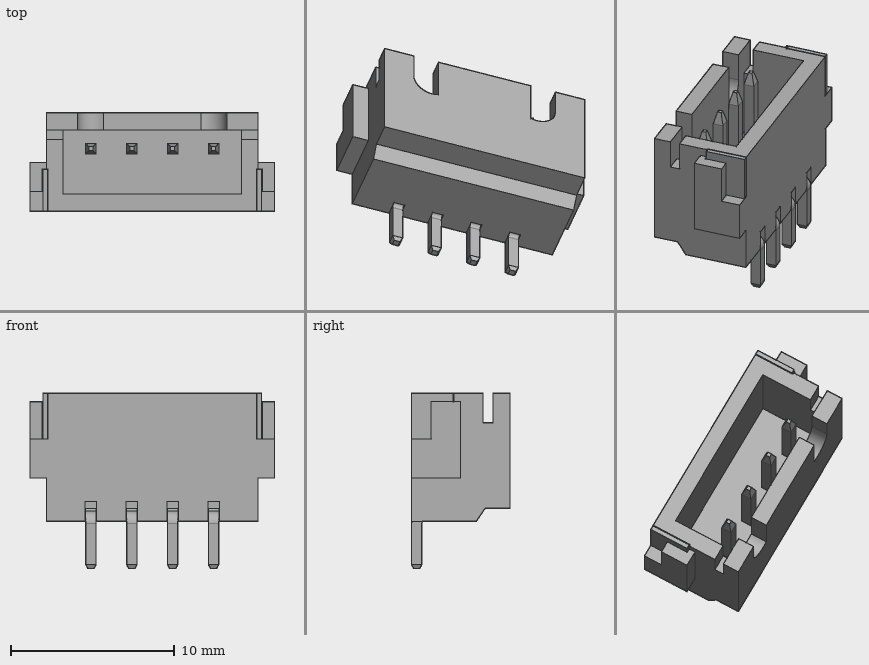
import cadquery as cq
import math


HOUSING_WIDTH = 12.99
HOUSING_DEPTH = 6.05
HOUSING_HEIGHT = 7.86
BACK_BOTTOM_Z = 0.8
SLOPE_TOP_Y = 4.52
SLOPE_BOTTOM_Y = 3.98

WALL = 1.05
CAVITY_WIDTH = 10.92
CAVITY_DEPTH = 6.0
CAVITY_BACK_Y = HOUSING_DEPTH - WALL
CAVITY_FLOOR_Z = HOUSING_HEIGHT - CAVITY_DEPTH

SIDE_NOTCH_LENGTH = 0.6
SIDE_NOTCH_DEPTH = 1.8

BACK_SLOT_INNER_X = 3.0
BACK_SLOT_OUTER_X = 4.59
BACK_SLOT_DEPTH = 3.0
BACK_SLOT_RADIUS = 1.2

OVERALL_WIDTH = 15.0
EAR_LENGTH = 3.0
EAR_TOP_Z = HOUSING_HEIGHT - 0.51
EAR_BOTTOM_Z = HOUSING_HEIGHT - 5.2
LEDGE_LENGTH = 1.2
LEDGE_Z = HOUSING_HEIGHT - 2.82

TAB_INNER_X = 6.44
TAB_OUTER_X = 6.7
TAB_LENGTH = 2.55
TAB_GAP = 0.05

PIN_COUNT = 4
PIN_PITCH = 2.5
PIN_SIZE = 0.65
PIN_CONTACT_Y = 3.84
PIN_TIP_Z = HOUSING_HEIGHT - 0.5
PIN_TIP_SIZE = 0.24
PIN_TIP_TAPER = 0.78
PIN_LEG = 2.9
PIN_LEG_TIP_SIZE = 0.38
PIN_LEG_TAPER = 0.25
BEND_START_Z = -0.14
BEND_RADIUS = 0.78
BEND_TOP_Z = BEND_START_Z + BEND_RADIUS
ARM_STEP = 0.16
PIN_ARM_TOP_Z = BEND_TOP_Z + ARM_STEP

RECESS_WIDTH = 0.7
RECESS_HEIGHT = 1.22
RECESS_DEPTH = BEND_RADIUS + ARM_STEP


def box(x0, x1, y0, y1, z0, z1):
    """Solid block between two opposite corners."""
    return cq.Workplane("XY").box(x1 - x0, y1 - y0, z1 - z0, centered=False).translate((x0, y0, z0))


def centred_box(x, width, y0, y1, z0, z1):
    """Solid block of a given width centred on x."""
    return box(x - width / 2, x + width / 2, y0, y1, z0, z1)


def mirrored(shape):
    """Copy of a shape on the opposite side of the housing."""
    return shape.mirror("YZ")


def housing_block():
    """Side profile of the housing extruded across its width."""
    profile = [
        (0, 0),
        (SLOPE_BOTTOM_Y, 0),
        (SLOPE_TOP_Y, BACK_BOTTOM_Z),
        (HOUSING_DEPTH, BACK_BOTTOM_Z),
        (HOUSING_DEPTH, HOUSING_HEIGHT),
        (0, HOUSING_HEIGHT),
    ]
    return cq.Workplane("YZ").polyline(profile).close().extrude(HOUSING_WIDTH / 2, both=True)


def cavity():
    return centred_box(0, CAVITY_WIDTH, WALL, CAVITY_BACK_Y, CAVITY_FLOOR_Z, HOUSING_HEIGHT)


def side_notches():
    """One cutter that crosses both side walls."""
    return centred_box(
        0, HOUSING_WIDTH,
        CAVITY_BACK_Y - SIDE_NOTCH_LENGTH, CAVITY_BACK_Y,
        HOUSING_HEIGHT - SIDE_NOTCH_DEPTH, HOUSING_HEIGHT,
    )


def right_back_slot():
    """Slot in the back wall, open at the top, whose bottom rises in an arc to the outer wall."""
    bottom_z = HOUSING_HEIGHT - BACK_SLOT_DEPTH
    arc_x = BACK_SLOT_OUTER_X - BACK_SLOT_RADIUS
    arc_z = bottom_z + BACK_SLOT_RADIUS
    inner_drop = math.sqrt(BACK_SLOT_RADIUS**2 - (arc_x - BACK_SLOT_INNER_X) ** 2)
    return (
        cq.Workplane("XZ", origin=(0, HOUSING_DEPTH, 0))
        .moveTo(BACK_SLOT_INNER_X, HOUSING_HEIGHT)
        .lineTo(BACK_SLOT_INNER_X, arc_z - inner_drop)
        .threePointArc((arc_x, bottom_z), (BACK_SLOT_OUTER_X, arc_z))
        .lineTo(BACK_SLOT_OUTER_X, HOUSING_HEIGHT)
        .close()
        .extrude(WALL)
    )


def right_ear():
    """Stepped ear: low ledge in front, full height behind."""
    profile = [
        (0, EAR_BOTTOM_Z),
        (EAR_LENGTH, EAR_BOTTOM_Z),
        (EAR_LENGTH, EAR_TOP_Z),
        (LEDGE_LENGTH, EAR_TOP_Z),
        (LEDGE_LENGTH, LEDGE_Z),
        (0, LEDGE_Z),
    ]
    ear_width = (OVERALL_WIDTH - HOUSING_WIDTH) / 2
    ear = cq.Workplane("YZ").polyline(profile).close().extrude(ear_width)
    return ear.translate((HOUSING_WIDTH / 2, 0, 0))


def right_tab_pocket():
    """Pocket for the solder tab, open at the front and top."""
    return box(
        TAB_INNER_X - TAB_GAP, TAB_OUTER_X + TAB_GAP,
        0, TAB_LENGTH + TAB_GAP,
        LEDGE_Z, HOUSING_HEIGHT,
    )


def right_solder_tab():
    """Upright plate that stands on the pocket floor, level with the housing top."""
    return box(TAB_INNER_X, TAB_OUTER_X, 0, TAB_LENGTH, LEDGE_Z, HOUSING_HEIGHT)


def taper(x, y, z, base_size, tip_size, height):
    """Four-sided taper from a square base at z; a negative height points down."""
    return (
        cq.Workplane("XY", origin=(x, y, z))
        .rect(base_size, base_size)
        .workplane(offset=height)
        .rect(tip_size, tip_size)
        .loft(ruled=True)
    )


def pin(x):
    """Pin from its leg at the front, round the bend and back to the upright contact.

    The rear elbow is cut off obliquely so that it stays inside the sloped underside.
    """
    leg_end_z = -PIN_LEG + PIN_LEG_TAPER
    shoulder_z = PIN_TIP_Z - PIN_TIP_TAPER
    arm_bottom_z = PIN_ARM_TOP_Z - PIN_SIZE
    inner_radius = arm_bottom_z - BEND_START_Z
    contact_front_y = PIN_CONTACT_Y - PIN_SIZE / 2
    contact_back_y = PIN_CONTACT_Y + PIN_SIZE / 2
    shank = (
        cq.Workplane("YZ", origin=(x, 0, 0))
        .moveTo(0, leg_end_z)
        .lineTo(0, BEND_START_Z)
        .radiusArc((BEND_RADIUS, BEND_TOP_Z), BEND_RADIUS)
        .lineTo(RECESS_DEPTH, PIN_ARM_TOP_Z)
        .lineTo(contact_front_y, PIN_ARM_TOP_Z)
        .lineTo(contact_front_y, shoulder_z)
        .lineTo(contact_back_y, shoulder_z)
        .lineTo(contact_back_y, PIN_ARM_TOP_Z)
        .lineTo(contact_front_y, arm_bottom_z)
        .lineTo(PIN_SIZE + inner_radius, arm_bottom_z)
        .radiusArc((PIN_SIZE, BEND_START_Z), -inner_radius)
        .lineTo(PIN_SIZE, leg_end_z)
        .close()
        .extrude(PIN_SIZE / 2, both=True)
    )
    contact_tip = taper(x, PIN_CONTACT_Y, shoulder_z, PIN_SIZE, PIN_TIP_SIZE, PIN_TIP_TAPER)
    leg_tip = taper(x, PIN_SIZE / 2, leg_end_z, PIN_SIZE, PIN_LEG_TIP_SIZE, -PIN_LEG_TAPER)
    return shank.union(contact_tip).union(leg_tip)


def bend_recess(x):
    """Recess in the front wall, open at the underside, that leaves the bend exposed."""
    return centred_box(x, RECESS_WIDTH, 0, RECESS_DEPTH, 0, RECESS_HEIGHT)


def header():
    """Housing with its cut-outs and moulded-in pins."""
    body = housing_block().union(right_ear()).union(mirrored(right_ear()))
    body = body.cut(cavity()).cut(side_notches())
    body = body.cut(right_back_slot()).cut(mirrored(right_back_slot()))
    body = body.cut(right_tab_pocket()).cut(mirrored(right_tab_pocket()))
    for i in range(PIN_COUNT):
        x = (i - (PIN_COUNT - 1) / 2) * PIN_PITCH
        body = body.cut(bend_recess(x)).union(pin(x))
    return body


housing = header()
solder_tabs = [right_solder_tab(), mirrored(right_solder_tab())]

result = cq.Compound.makeCompound([housing.val(), *[tab.val() for tab in solder_tabs]])